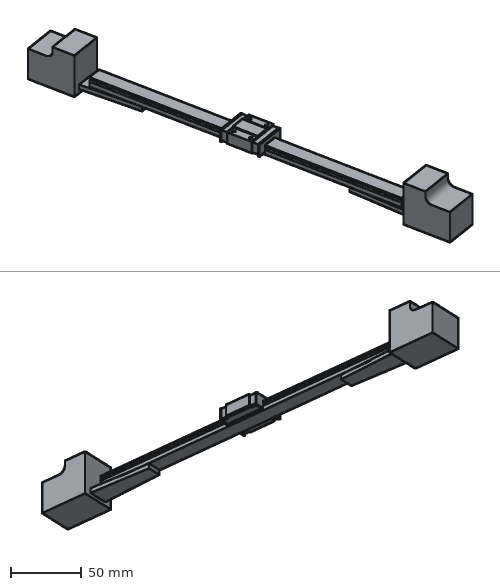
import cadquery as cq

total_length = 365.0
total_height = 35.5
block_width = 28.0

block_length = 40.0
step_height = 26.0
step_length = 21.0
step_fillet = 5.5

plate_bottom = 3.3
plate_top = 7.3
plate_length = 52.5
plate_root_width = 16.0
plate_tip_width = 11.3

rail_length = 270.0
rail_width = 12.0
rail_height = 8.0
rail_flange = 1.5
groove_diameter = 2.3

body_length = 21.5
body_width = 27.5
body_bottom = 9.5
body_top = 20.0
bottom_chamfer = 1.0
pad_height = 0.7
cap_length = 5.0
cap_width = 25.5
cap_top = 19.5
seal_length = 1.0
seal_margin = 0.2

hole_diameter = 2.45
hole_depth = 3.5
hole_spacing_x = 15.0
hole_spacing_y = 19.7

rail_top = plate_top + rail_height
block_inner_x = total_length / 2 - block_length


def on_both_ends(shape):
    """Return the shape together with its mirror image at the other end."""
    return shape.union(shape.mirror("YZ"))


def box(length, width, bottom, top, center_x=0):
    """Box centred on Y = 0, between two heights."""
    return (
        cq.Workplane("XY", origin=(center_x, 0, bottom))
        .rect(length, width)
        .extrude(top - bottom)
    )


def end_block():
    outer_x = total_length / 2
    step_x = outer_x - step_length
    return (
        cq.Workplane("XZ")
        .moveTo(block_inner_x, 0)
        .lineTo(outer_x, 0)
        .lineTo(outer_x, step_height)
        .lineTo(step_x + step_fillet, step_height)
        .radiusArc((step_x, step_height + step_fillet), step_fillet)
        .lineTo(step_x, total_height)
        .lineTo(block_inner_x, total_height)
        .close()
        .extrude(block_width / 2, both=True)
    )


def support_plate():
    tip_x = block_inner_x - plate_length
    return (
        cq.Workplane("XY", origin=(0, 0, plate_bottom))
        .moveTo(block_inner_x, -plate_root_width / 2)
        .lineTo(block_inner_x, plate_root_width / 2)
        .lineTo(tip_x, plate_tip_width / 2)
        .lineTo(tip_x, -plate_tip_width / 2)
        .close()
        .extrude(plate_top - plate_bottom)
    )


def rail():
    groove_z = rail_top - rail_flange - groove_diameter / 2
    groove = (
        cq.Workplane("YZ")
        .center(rail_width / 2, groove_z)
        .circle(groove_diameter / 2)
        .extrude(rail_length / 2, both=True)
    )
    bar = box(rail_length, rail_width, plate_top, rail_top)
    return bar.cut(groove).cut(groove.mirror("XZ"))


def carriage():
    body = box(body_length, body_width, body_bottom, body_top)
    body = body.edges("|X and <Z").chamfer(bottom_chamfer)
    pad = box(body_length, rail_width, body_top, body_top + pad_height)

    cap_x = (body_length + cap_length) / 2
    cap = box(cap_length, cap_width, body_bottom, cap_top, cap_x)
    cap = cap.edges("|X and <Z").chamfer(bottom_chamfer)

    seal_x = body_length / 2 + cap_length + seal_length / 2
    seal_width = cap_width + 2 * seal_margin
    seal = box(seal_length, seal_width, body_bottom - seal_margin, cap_top + seal_margin, seal_x)

    holes = (
        cq.Workplane("XY", origin=(0, 0, body_top))
        .rarray(hole_spacing_x, hole_spacing_y, 2, 2)
        .circle(hole_diameter / 2)
        .extrude(-hole_depth)
    )
    return body.union(pad).union(on_both_ends(cap)).union(on_both_ends(seal)).cut(holes)


result = (
    rail()
    .union(on_both_ends(end_block()))
    .union(on_both_ends(support_plate()))
    .union(carriage())
)